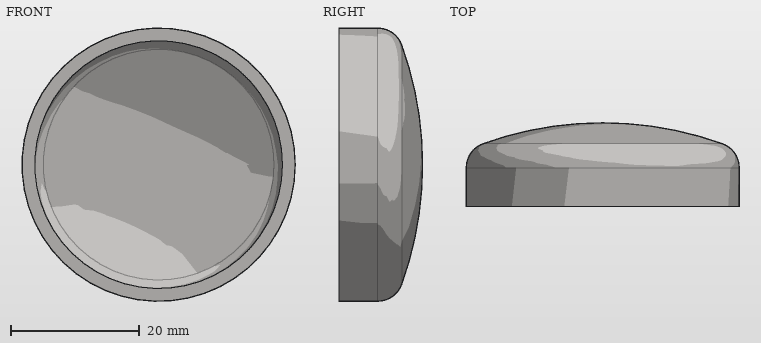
import cadquery as cq
import math

outer_radius = 21.2
total_depth = 13.0
wall = 2.0
skirt_depth = 6.0
corner_radius = 4.0

corner_center = outer_radius - corner_radius
crown_height = total_depth - skirt_depth
dome_radius = (corner_center**2 + crown_height**2 - corner_radius**2) / (2 * (crown_height - corner_radius))
dome_center = total_depth - dome_radius
tangent_angle = math.asin(corner_center / (dome_radius - corner_radius))


def arc_point(center_x, center_y, radius, angle):
    """Point on an arc, with the angle measured from the +Y axis toward +X."""
    return (center_x + radius * math.sin(angle), center_y + radius * math.cos(angle))


def domed_body(offset):
    """Solid of revolution lying inside the outer surface by the given offset."""
    side_radius = outer_radius - offset
    corner = corner_radius - offset
    dome = dome_radius - offset
    corner_mid_angle = (tangent_angle + math.pi / 2) / 2
    profile = (
        cq.Workplane("XY")
        .lineTo(side_radius, 0)
        .lineTo(side_radius, skirt_depth)
        .threePointArc(
            arc_point(corner_center, skirt_depth, corner, corner_mid_angle),
            arc_point(corner_center, skirt_depth, corner, tangent_angle),
        )
        .threePointArc(
            arc_point(0, dome_center, dome, tangent_angle / 2),
            (0, total_depth - offset),
        )
        .close()
    )
    return profile.revolve(360, (0, 0, 0), (0, 1, 0))


result = domed_body(0).cut(domed_body(wall))